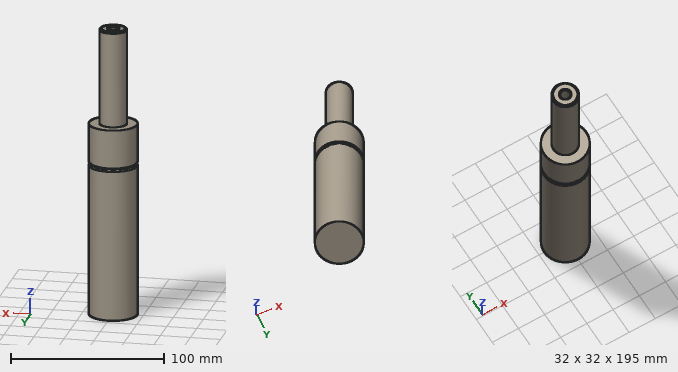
import cadquery as cq
import math

total_length = 195.0
body_diameter = 32.0
rod_diameter = 18.0
rod_length = 65.0
rod_chamfer = 1.0

groove_below_shoulder = 27.1
groove_depth = 1.2

hole_diameter = 6.8
hole_mouth_diameter = 8.0
hole_depth = 19.5
drill_point_angle = 118.0

body_radius = body_diameter / 2
rod_radius = rod_diameter / 2
shoulder_z = total_length - rod_length
groove_z = shoulder_z - groove_below_shoulder


def revolve_profile(points):
    """Revolve a closed (radius, height) outline about the Z axis."""
    return cq.Workplane("XZ").polyline(points).close().revolve(360, (0, 0, 0), (0, 1, 0))


def make_cylinder_and_rod():
    """Grooved body with the chamfered rod on top; the groove has 45 degree sides."""
    return revolve_profile([
        (0, 0),
        (body_radius, 0),
        (body_radius, groove_z - groove_depth),
        (body_radius - groove_depth, groove_z),
        (body_radius, groove_z + groove_depth),
        (body_radius, shoulder_z),
        (rod_radius, shoulder_z),
        (rod_radius, total_length - rod_chamfer),
        (rod_radius - rod_chamfer, total_length),
        (0, total_length),
    ])


def make_rod_hole():
    """Countersunk blind hole, as a solid to cut away."""
    hole_radius = hole_diameter / 2
    mouth_radius = hole_mouth_diameter / 2
    countersink_depth = mouth_radius - hole_radius
    hole_floor_z = total_length - hole_depth
    point_depth = hole_radius / math.tan(math.radians(drill_point_angle / 2))
    return revolve_profile([
        (0, hole_floor_z - point_depth),
        (hole_radius, hole_floor_z),
        (hole_radius, total_length - countersink_depth),
        (mouth_radius, total_length),
        (0, total_length),
    ])


result = make_cylinder_and_rod().cut(make_rod_hole())